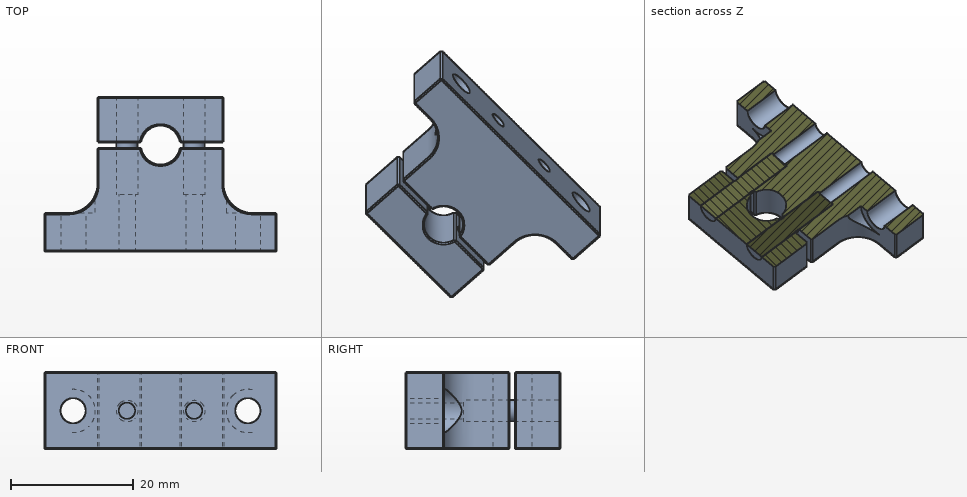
import cadquery as cq

base_length = 38.1
total_depth = 25.4
thickness = 12.7
edge_chamfer = 0.255

block_width = 20.65
flange_depth = 6.35
corner_radius = 4.75
gap = 0.8
cap_depth = 7.55
bore_diameter = 6.35

mount_hole_spacing = 28.58
mount_hole_diameter = 4.08
spotface_diameter = 7.12

screw_spacing = 10.97
screw_diameter = 3.5
screw_engagement = 7.62
tap_hole_diameter = 2.65

cap_start = total_depth - cap_depth
base_top = cap_start - gap
bore_center = base_top + gap / 2
screw_end = base_top - screw_engagement
half_length = base_length / 2
half_width = block_width / 2
half_thickness = thickness / 2
tangent_height = flange_depth + corner_radius
screw_places = (-screw_spacing / 2, screw_spacing / 2)
mount_hole_places = (-mount_hole_spacing / 2, mount_hole_spacing / 2)


def rod(x, diameter, start, end):
    """Cylinder along Y at mid thickness, from start to end."""
    direction = cq.Vector(0, 1, 0)
    solid = cq.Solid.makeCylinder(diameter / 2, end - start, cq.Vector(x, start, 0), direction)
    return cq.Workplane(obj=solid)


def shaft_bore():
    """Cylinder along Z that is shared by the base and the cap."""
    return (
        cq.Workplane("XY")
        .center(0, bore_center)
        .circle(bore_diameter / 2)
        .extrude(half_thickness, both=True)
    )


def edges_along_z(half_span, height):
    """Selector for edges along Z at one height in Y, within half_span of the middle."""
    low_corner = (-half_span - edge_chamfer, height - edge_chamfer, -edge_chamfer)
    high_corner = (half_span + edge_chamfer, height + edge_chamfer, edge_chamfer)
    return cq.selectors.BoxSelector(low_corner, high_corner)


def break_edges(body):
    """Chamfer every edge except the smooth ones where the concave corners run out."""
    upright_tangents = edges_along_z(half_width, tangent_height)
    flange_tangents = edges_along_z(half_width + corner_radius, flange_depth)
    smooth_edges = upright_tangents + flange_tangents
    return body.edges(cq.selectors.InverseSelector(smooth_edges)).chamfer(edge_chamfer)


def make_base():
    outline = (
        cq.Workplane("XY")
        .moveTo(-half_length, 0)
        .lineTo(half_length, 0)
        .lineTo(half_length, flange_depth)
        .lineTo(half_width + corner_radius, flange_depth)
        .radiusArc((half_width, tangent_height), corner_radius)
        .lineTo(half_width, base_top)
        .lineTo(-half_width, base_top)
        .lineTo(-half_width, tangent_height)
        .radiusArc((-half_width - corner_radius, flange_depth), corner_radius)
        .lineTo(-half_length, flange_depth)
        .close()
    )
    base = break_edges(outline.extrude(half_thickness, both=True).cut(shaft_bore()))

    for x in mount_hole_places:
        base = base.cut(rod(x, mount_hole_diameter, 0, base_top))
        base = base.cut(rod(x, spotface_diameter, flange_depth, base_top))

    for x in screw_places:
        base = base.cut(rod(x, tap_hole_diameter, 0, base_top))
        base = base.cut(rod(x, screw_diameter, screw_end, base_top))
    return base


def make_cap():
    block = (
        cq.Workplane("XY")
        .center(0, cap_start + cap_depth / 2)
        .rect(block_width, cap_depth)
        .extrude(half_thickness, both=True)
    )
    cap = break_edges(block.cut(shaft_bore()))
    for x in screw_places:
        cap = cap.cut(rod(x, screw_diameter, cap_start, total_depth))
    return cap


def make_screw(x):
    """Plain shank, flush with the outer face of the cap."""
    return rod(x, screw_diameter, screw_end, total_depth)


base = make_base()
cap = make_cap()
screws = [make_screw(x) for x in screw_places]

result = cq.Compound.makeCompound([base.val(), cap.val(), *[screw.val() for screw in screws]])